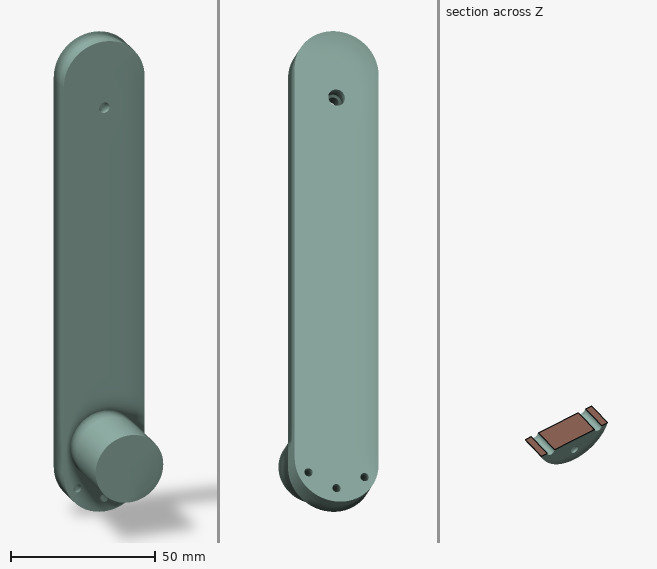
import cadquery as cq

length = 175.0
width = 30.0
depth = 35.0
plate_thickness = 10.0

boss_diameter = 25.0
boss_length = depth - plate_thickness
boss_height = 25.0

pivot_inset = 24.7
pivot_diameter = 3.8
counterbore_diameter = 6.0
counterbore_depth = plate_thickness / 2

pin_diameter = 3.0
side_pin_offset = 10.0
side_pin_height = 10.0
bottom_pin_height = side_pin_height / 2
pin_positions = [
    (-side_pin_offset, side_pin_height),
    (0, bottom_pin_height),
    (side_pin_offset, side_pin_height),
]


def cylinder_along_x(y, z, diameter, start_x, reach):
    """Cylinder running in +X from start_x."""
    return (
        cq.Workplane("YZ", origin=(start_x, y, z))
        .circle(diameter / 2)
        .extrude(reach)
    )


result = (
    cq.Workplane("YZ", origin=(0, 0, length / 2))
    .slot2D(length, width, 90)
    .extrude(plate_thickness)
)

boss = cylinder_along_x(0, boss_height, boss_diameter, plate_thickness, boss_length)
result = result.union(boss)

pivot_height = length - pivot_inset
result = result.cut(cylinder_along_x(0, pivot_height, pivot_diameter, 0, plate_thickness))
result = result.cut(
    cylinder_along_x(0, pivot_height, counterbore_diameter, 0, counterbore_depth)
)

for pin_y, pin_z in pin_positions:
    result = result.cut(cylinder_along_x(pin_y, pin_z, pin_diameter, 0, plate_thickness))